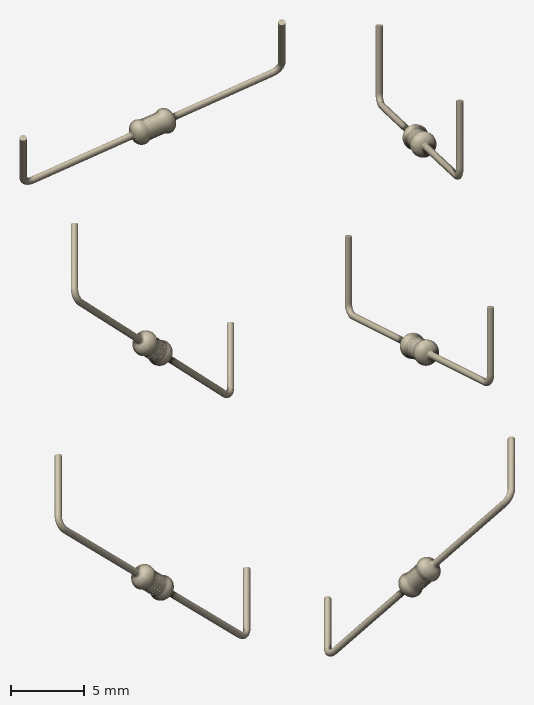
import cadquery as cq
import math


overall_length = 20.5
overall_height = 6.4
wire_diameter = 0.5
bend_radius = 0.75

waist_diameter = 1.54
cap_diameter = 1.8
cap_position = 0.96
dome_radius = 0.64
body_half_length = 1.76

band_diameter = 1.55
band_count = 4
band_width = 0.133
band_pitch = 2 * band_width

wire_radius = wire_diameter / 2
waist_radius = waist_diameter / 2
cap_radius = cap_diameter / 2
waist_half_length = (band_count - 0.5) * band_width
lead_position = overall_length / 2 - wire_radius
lead_top = overall_height - cap_radius


def circle_point(center, radius, angle):
    return (center[0] + radius * math.cos(angle), center[1] + radius * math.sin(angle))


def make_wire():
    """Sweep a round section along the U-shaped centreline."""
    bend_start = lead_position - bend_radius
    path = (
        cq.Workplane("YZ")
        .moveTo(-lead_position, lead_top)
        .lineTo(-lead_position, bend_radius)
        .tangentArcPoint((-bend_start, 0), relative=False)
        .lineTo(bend_start, 0)
        .tangentArcPoint((lead_position, bend_radius), relative=False)
        .lineTo(lead_position, lead_top)
    )
    section = cq.Workplane("XY", origin=(0, -lead_position, lead_top)).circle(wire_radius)
    return section.sweep(path)


def make_body_end():
    """Revolve the +Y end of the body, from the waist to the wire, about the wire axis."""
    shoulder_length = cap_position - waist_half_length
    shoulder_rise = cap_radius - waist_radius
    shoulder_radius = (shoulder_length**2 + shoulder_rise**2) / (4 * shoulder_rise)
    shoulder_middle = (cap_radius + waist_radius) / 2, waist_half_length + shoulder_length / 2

    dome_center = (cap_radius - dome_radius, cap_position)
    flare_run = body_half_length - cap_position
    center_offset = dome_center[0] - wire_radius
    flare_radius = (flare_run**2 + center_offset**2 - dome_radius**2) / (2 * (dome_radius + center_offset))
    flare_center = (wire_radius + flare_radius, body_half_length)
    joint_angle = math.atan2(flare_run, flare_center[0] - dome_center[0])
    flare_start = circle_point(dome_center, dome_radius, joint_angle)
    dome_middle = circle_point(dome_center, dome_radius, joint_angle / 2)
    flare_middle = circle_point(flare_center, flare_radius, math.pi + joint_angle / 2)

    profile = (
        cq.Workplane("XY")
        .moveTo(0, waist_half_length)
        .lineTo(waist_radius, waist_half_length)
        .radiusArc(shoulder_middle, shoulder_radius)
        .radiusArc((cap_radius, cap_position), -shoulder_radius)
        .threePointArc(dome_middle, flare_start)
        .threePointArc(flare_middle, (wire_radius, body_half_length))
        .lineTo(0, body_half_length)
        .close()
    )
    return profile.revolve(360, (0, 0, 0), (0, 1, 0))


def make_disc(diameter, y_start, length):
    """A cylinder on the wire axis, running from y_start toward +Y."""
    return cq.Workplane("XZ", origin=(0, y_start, 0)).circle(diameter / 2).extrude(-length)


body_end = make_body_end()
waist = make_disc(waist_diameter, -waist_half_length, 2 * waist_half_length)
result = waist.union(body_end).union(body_end.mirror("XZ")).union(make_wire())
for index in range(band_count):
    band_start = index * band_pitch - waist_half_length
    result = result.union(make_disc(band_diameter, band_start, band_width))